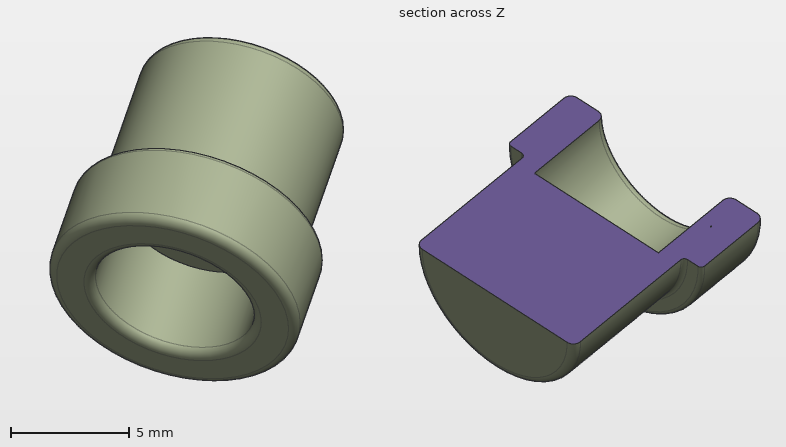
import cadquery as cq

total_length = 11.0
head_diameter = 11.0
head_length = 4.0
body_diameter = 9.0
bore_diameter = 7.0
bore_depth = 4.5
end_radius = 0.4
step_radius = 0.2

front_y = 0.0
step_y = front_y + head_length
back_y = front_y + total_length

tolerance = 0.01


def cylinder_along_y(diameter, start_y, length):
    plane = cq.Plane(origin=(0, start_y, 0), xDir=(1, 0, 0), normal=(0, 1, 0))
    return cq.Workplane(plane).circle(diameter / 2).extrude(length)


def circle_at(part, diameter, y):
    """Select the circular edges of one diameter at one place along the axis."""
    radius = diameter / 2

    def matches(edge):
        on_plane = abs(edge.Center().y - y) < tolerance
        return edge.geomType() == "CIRCLE" and on_plane and abs(edge.radius() - radius) < tolerance

    return part.edges().filter(matches)


def stepped_body():
    head = cylinder_along_y(head_diameter, front_y, head_length)
    body = cylinder_along_y(body_diameter, front_y, total_length)
    return head.union(body)


def round_edges(part):
    rounds = [
        (head_diameter, front_y, end_radius),
        (bore_diameter, front_y, end_radius),
        (body_diameter, back_y, end_radius),
        (head_diameter, step_y, step_radius),
        (body_diameter, step_y, step_radius),
    ]
    for diameter, y, radius in rounds:
        part = circle_at(part, diameter, y).fillet(radius)
    return part


bore = cylinder_along_y(bore_diameter, front_y, bore_depth)
result = round_edges(stepped_body().cut(bore))